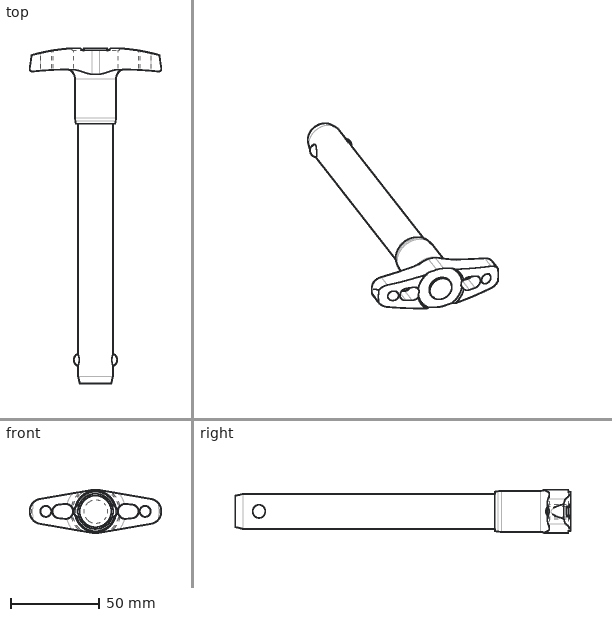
import cadquery as cq
import math


total_length = 190.1
shaft_diameter = 20.0
shaft_radius = shaft_diameter / 2
tip_radius = 9.0
tip_taper_length = 4.4

ball_radius = 3.8
ball_y = 13.5
ball_reach = 12.4

collar_diameter = 23.4
collar_radius = collar_diameter / 2
collar_end_radius = 11.2
collar_end_y = 147.1
collar_round_length = 3.5
collar_round_mid_drop = 0.2
collar_fillet_radius = 5.1

hub_radius = 12.4
arm_end_radius = 7.2
handle_length = 74.7
arm_end_x = handle_length / 2 - arm_end_radius

crown_arc_radius = 104.5
crown_edge_radius = 36.3
crown_edge_depth = 4.0
rim_radius = 37.5
rim_depth = 12.0
rim_round_inner_radius = 35.7
underside_edge_depth = 13.3
underside_inner_depth = 12.2
underside_arc_radius = 171.0

recess_floor_radius = 13.3
recess_mouth_radius = 14.0
recess_depth = 1.3
button_radius = 6.7

small_hole_x = 28.1
small_hole_radius = 3.0
slot_wide_x = 17.0
slot_wide_radius = 4.2
slot_narrow_x = 20.5
slot_narrow_radius = 3.8


def level(depth):
    """Y position at a given depth below the top of the handle."""
    return total_length - depth


def extrude_along_y(outline):
    """Extrude an outline lying in the XZ plane over the whole pin length."""
    return outline.extrude(-total_length)


def tapered_half(big_radius, small_x, small_radius, big_x=0.0):
    """Solid around two circles on the X axis joined by their common tangents."""
    lean = math.asin((big_radius - small_radius) / (small_x - big_x))
    across, up = math.sin(lean), math.cos(lean)
    big_touch_x = big_x + big_radius * across
    small_touch_x = small_x + small_radius * across
    outline = (
        cq.Workplane("XZ")
        .moveTo(big_touch_x, big_radius * up)
        .lineTo(small_touch_x, small_radius * up)
        .threePointArc((small_x + small_radius, 0), (small_touch_x, -small_radius * up))
        .lineTo(big_touch_x, -big_radius * up)
        .threePointArc((big_x - big_radius, 0), (big_touch_x, big_radius * up))
        .close()
    )
    return extrude_along_y(outline)


def both_arms(solid):
    """The solid together with its mirror image on the opposite arm."""
    return solid.union(solid.mirror("YZ"))


def make_shaft_and_collar():
    """Tapered tip, straight shaft and collar, turned about Y up to the recess floor."""
    collar_round_y = collar_end_y + collar_round_length
    collar_mid = (collar_radius - collar_round_mid_drop, collar_end_y + collar_round_length / 2)
    profile = (
        cq.Workplane("XY")
        .lineTo(tip_radius, 0)
        .lineTo(shaft_radius, tip_taper_length)
        .lineTo(shaft_radius, collar_end_y)
        .lineTo(collar_end_radius, collar_end_y)
        .lineTo(*collar_mid)
        .lineTo(collar_radius, collar_round_y)
        .lineTo(collar_radius, level(recess_depth))
        .lineTo(0, level(recess_depth))
        .close()
    )
    return profile.revolve(360, (0, 0), (0, 1))


def make_handle():
    """Turned handle body trimmed to the tapered arm outline."""
    fillet_outer_radius = collar_radius + collar_fillet_radius
    fillet_end_depth = underside_inner_depth + collar_fillet_radius
    profile = (
        cq.Workplane("XY")
        .moveTo(0, level(fillet_end_depth))
        .lineTo(collar_radius, level(fillet_end_depth))
        .radiusArc((fillet_outer_radius, level(underside_inner_depth)), collar_fillet_radius)
        .radiusArc((rim_round_inner_radius, level(underside_edge_depth)), underside_arc_radius)
        .radiusArc((rim_radius, level(rim_depth)), -(rim_radius - rim_round_inner_radius))
        .lineTo(crown_edge_radius, level(crown_edge_depth))
        .radiusArc((recess_mouth_radius, total_length), -crown_arc_radius)
        .lineTo(recess_floor_radius, level(recess_depth))
        .lineTo(button_radius, level(recess_depth))
        .lineTo(button_radius, total_length)
        .lineTo(0, total_length)
        .close()
    )
    turned = profile.revolve(360, (0, 0), (0, 1))
    outline = both_arms(tapered_half(hub_radius, arm_end_x, arm_end_radius))
    return turned.intersect(outline)


def make_arm_openings():
    """Small round hole and tapered slot through each arm."""
    small_hole = extrude_along_y(
        cq.Workplane("XZ").center(small_hole_x, 0).circle(small_hole_radius)
    )
    slot = tapered_half(slot_wide_radius, slot_narrow_x, slot_narrow_radius, slot_wide_x)
    return both_arms(small_hole.union(slot))


def make_balls():
    """Pair of locking balls standing out of opposite sides of the shaft."""
    ball = cq.Workplane("XY").sphere(ball_radius)
    return both_arms(ball.translate((ball_reach - ball_radius, ball_y, 0)))


handle = make_handle().cut(make_arm_openings())
result = handle.union(make_shaft_and_collar()).union(make_balls())